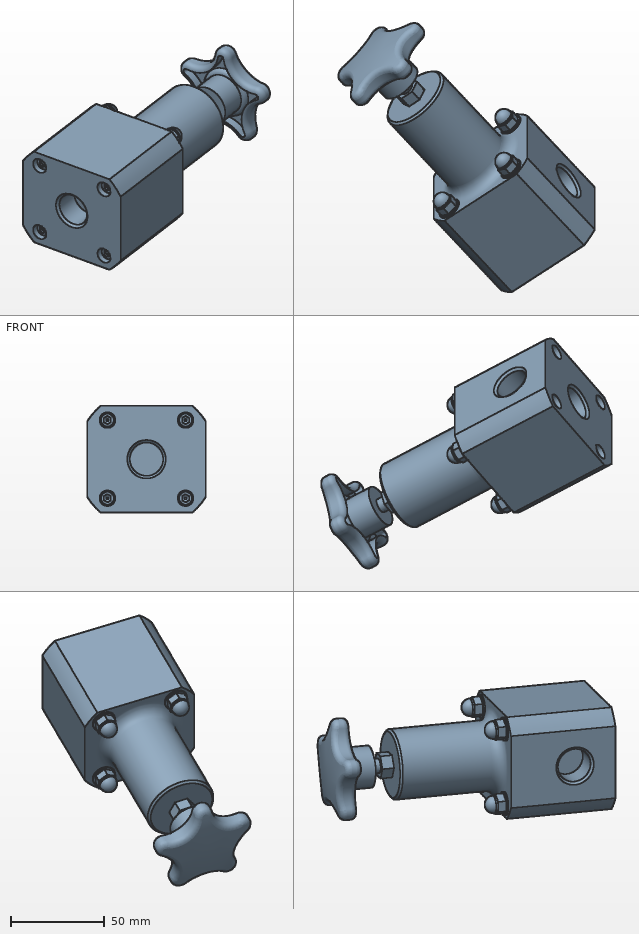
import cadquery as cq
import math

total_length = 152.4

body_width = 63.5
body_height = 57.1
body_length = 58.5
body_corner_diameter = 75.3

inlet_diameter = 17.8
outlet_diameter = 18.3
port_depth = 15.2
port_chamfer = 1.4
outlet_center_y = 22.7

screw_offset = 20.9
recess_diameter = 8.4
recess_depth = 2.9
head_diameter = 7.5
head_height = 2.3
head_chamfer = 0.3
socket_flats = 3.8
socket_depth = 1.5
socket_cone_depth = 1.0
washer_diameter = 12.6
washer_thickness = 0.9
nut_flats = 9.9
nut_height = 4.4
dome_diameter = 9.6
nut_collar = 1.0

bonnet_diameter = 38.1
bonnet_flare = 6.4
bonnet_top_y = 116.3
bonnet_chamfer = 1.2

lock_nut_flats = 12.3
lock_nut_height = 6.5
lock_nut_turn = 2.0
spindle_diameter = 8.0

hub_start_y = 127.9
hub_diameter = 22.9
wheel_rim_y = 140.2
wheel_floor_y = 145.5
wheel_dome_radius = 106.7
wheel_lobes = 5
lobe_radius = 5.0
lobe_center_radius = 23.5
valley_radius = 14.3
wheel_round = 3.2
wheel_wall = 3.2
hub_root_round = 2.7


def hexagon(flats, start_y, length, turn=90.0):
    """Hexagonal prism along +Y; at a turn of 90 degrees its corners point along Z."""
    corner_diameter = flats / math.cos(math.pi / 6)
    prism = cq.Workplane("XZ", origin=(0, start_y, 0)).polygon(6, corner_diameter).extrude(-length)
    return prism.rotate((0, 0, 0), (0, 1, 0), turn)


def cylinder(diameter, start_y, length):
    return cq.Workplane("XZ", origin=(0, start_y, 0)).circle(diameter / 2).extrude(-length)


def port(diameter):
    """Blind bore along +Y from the origin, with a conical mouth."""
    radius = diameter / 2
    return (
        cq.Workplane("XY")
        .moveTo(0, 0)
        .lineTo(radius + port_chamfer, 0)
        .lineTo(radius, port_chamfer)
        .lineTo(radius, port_depth)
        .lineTo(0, port_depth)
        .close()
        .revolve(360, (0, 0, 0), (0, 1, 0))
    )


def valve_body():
    block = cq.Workplane("XY").box(body_width, body_length, body_height, centered=(True, False, True))
    block = block.intersect(cylinder(body_corner_diameter, 0, body_length))
    inlet = port(inlet_diameter)
    outlet = (
        port(outlet_diameter)
        .rotate((0, 0, 0), (0, 0, 1), -90)
        .translate((-body_width / 2, outlet_center_y, 0))
    )
    return block.cut(inlet).cut(outlet)


def screw_recess():
    """Counterbore around a screw head, holding the head itself with its hexagon socket."""
    bottom_y = recess_depth + head_height
    head = cylinder(head_diameter, recess_depth, head_height).faces("<Y").chamfer(head_chamfer)
    corner_radius = socket_flats / 2 / math.cos(math.pi / 6)
    cone_y = recess_depth + socket_depth
    cone = (
        cq.Workplane("XY")
        .moveTo(0, cone_y)
        .lineTo(corner_radius, cone_y)
        .lineTo(0, cone_y + socket_cone_depth)
        .close()
        .revolve(360, (0, 0, 0), (0, 1, 0))
    )
    tip = cone.intersect(hexagon(socket_flats, cone_y, socket_cone_depth))
    head = head.cut(hexagon(socket_flats, recess_depth, socket_depth)).cut(tip)
    return cylinder(recess_diameter, 0, bottom_y).cut(head)


def cap_nut():
    """Washer, hexagon and domed cap standing on the rear face of the body."""
    nut_y = body_length + washer_thickness
    collar_y = nut_y + nut_height
    dome_y = collar_y + nut_collar
    radius = dome_diameter / 2
    cap = (
        cq.Workplane("XY")
        .moveTo(0, collar_y)
        .lineTo(nut_flats / 2, collar_y)
        .lineTo(nut_flats / 2, dome_y)
        .lineTo(radius, dome_y)
        .radiusArc((0, dome_y + radius), -radius)
        .close()
        .revolve(360, (0, 0, 0), (0, 1, 0))
    )
    washer = cylinder(washer_diameter, body_length, washer_thickness)
    return washer.union(hexagon(nut_flats, nut_y, nut_height)).union(cap)


def bonnet():
    radius = bonnet_diameter / 2
    return (
        cq.Workplane("XY")
        .moveTo(0, body_length)
        .lineTo(radius + bonnet_flare, body_length)
        .radiusArc((radius, body_length + bonnet_flare), bonnet_flare)
        .lineTo(radius, bonnet_top_y - bonnet_chamfer)
        .lineTo(radius - bonnet_chamfer, bonnet_top_y)
        .lineTo(0, bonnet_top_y)
        .close()
        .revolve(360, (0, 0, 0), (0, 1, 0))
    )


def polar(radius, angle):
    return (radius * math.cos(angle), radius * math.sin(angle))


def wheel_outline(inset, start_y):
    """Star of round lobes, the first one up, joined by hollow arcs tangent to the lobe tips."""
    half_pitch = math.pi / wheel_lobes
    tip_radius = lobe_radius - inset
    across = lobe_center_radius * math.sin(half_pitch)
    valley_center = lobe_center_radius * math.cos(half_pitch) + math.sqrt(
        (lobe_radius + valley_radius) ** 2 - across**2
    )
    valley_bottom = valley_center - valley_radius - inset

    along_lobe = valley_center * math.cos(half_pitch) - lobe_center_radius
    beside_lobe = valley_center * math.sin(half_pitch)
    lean = math.atan2(along_lobe, beside_lobe)
    joint_along = lobe_center_radius + tip_radius * math.sin(lean)
    joint_beside = tip_radius * math.cos(lean)
    joint_distance = math.hypot(joint_along, joint_beside)
    joint_angle = math.atan2(joint_beside, joint_along)

    first = math.pi / 2
    outline = cq.Workplane("XZ", origin=(0, start_y, 0)).moveTo(*polar(joint_distance, first - joint_angle))
    for lobe in range(wheel_lobes):
        middle = first + 2 * half_pitch * lobe
        following = middle + 2 * half_pitch
        outline = outline.threePointArc(
            polar(lobe_center_radius + tip_radius, middle), polar(joint_distance, middle + joint_angle)
        ).threePointArc(
            polar(valley_bottom, middle + half_pitch), polar(joint_distance, following - joint_angle)
        )
    return outline.close()


def handwheel():
    wheel = wheel_outline(0, wheel_rim_y).extrude(wheel_rim_y - total_length)
    dome = cq.Workplane("XY").sphere(wheel_dome_radius)
    wheel = wheel.intersect(dome.translate((0, total_length - wheel_dome_radius, 0)))
    wheel = wheel.faces("%SPHERE").edges().fillet(wheel_round)
    wheel = wheel.faces("<Y").edges().fillet(wheel_round)
    hollow = wheel_outline(wheel_wall, wheel_rim_y).extrude(wheel_rim_y - wheel_floor_y)

    radius = hub_diameter / 2
    hub = (
        cq.Workplane("XY")
        .moveTo(0, hub_start_y)
        .lineTo(radius, hub_start_y)
        .lineTo(radius, wheel_floor_y - hub_root_round)
        .radiusArc((radius + hub_root_round, wheel_floor_y), -hub_root_round)
        .lineTo(0, wheel_floor_y)
        .close()
        .revolve(360, (0, 0, 0), (0, 1, 0))
    )
    return wheel.cut(hollow).union(hub)


result = valve_body()
recess = screw_recess()
nut = cap_nut()
for x in (-screw_offset, screw_offset):
    for z in (-screw_offset, screw_offset):
        result = result.cut(recess.translate((x, 0, z))).union(nut.translate((x, 0, z)))

result = (
    result.union(bonnet())
    .union(hexagon(lock_nut_flats, bonnet_top_y, lock_nut_height, lock_nut_turn))
    .union(cylinder(spindle_diameter, bonnet_top_y, hub_start_y - bonnet_top_y))
    .union(handwheel())
)